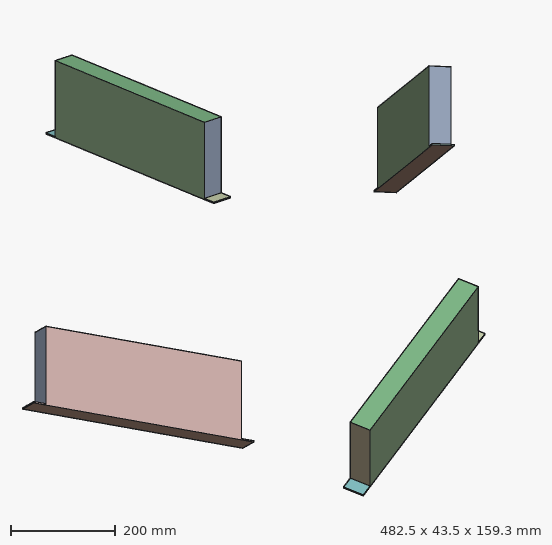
import cadquery as cq

overall_length = 482.5
depth = 43.5
height = 159.3

flange_length = 26.5
flange_thickness = 3.0

body_length = overall_length - 2 * flange_length

on_base = (True, True, False)

body = cq.Workplane("XY").box(body_length, depth, height, centered=on_base)

base_plate = cq.Workplane("XY").box(overall_length, depth, flange_thickness, centered=on_base)

result = body.union(base_plate)